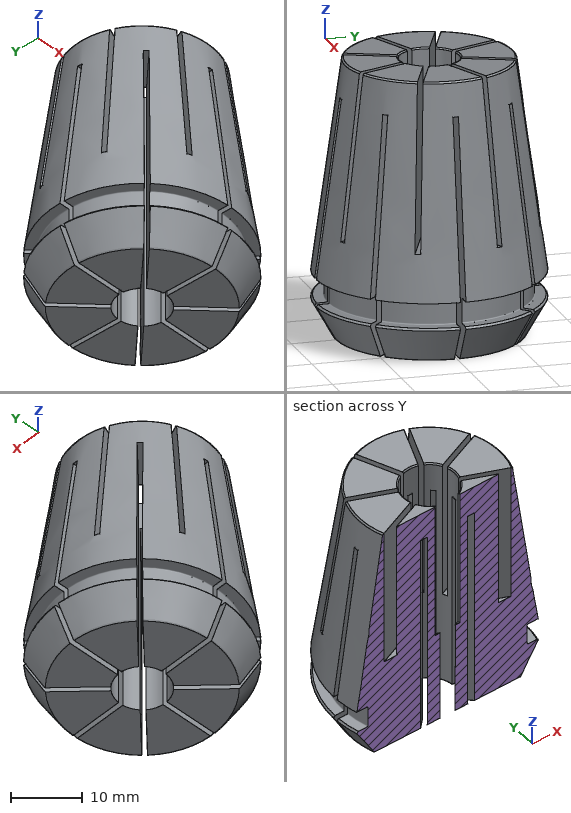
import cadquery as cq

height = 40.0
rim_diameter = 33.0
rim_radius = rim_diameter / 2
bore_diameter = 8.7
edge_break = 0.25
bore_break = 0.2
bottom_break = 0.15
groove_fillet = 0.15

bottom_radius = 13.65
flange_edge_z = 5.15
flange_top_z = 5.5
flange_top_radius = 16.25
groove_radius = 14.65
cone_base_z = 9.1
top_radius = 12.2

slots_per_end = 8
slot_pitch = 360.0 / slots_per_end
slot_width = 0.8
slab_length = 3 * rim_radius
lower_slot_top_z = 35.0
upper_slot_floor_z = 16.0


def make_body():
    """Revolve the collet profile around Z, including the bore."""
    bore_radius = bore_diameter / 2
    profile = (
        cq.Workplane("XZ")
        .moveTo(bore_radius, 0)
        .lineTo(bottom_radius - bottom_break, 0)
        .lineTo(bottom_radius, bottom_break)
        .lineTo(rim_radius, flange_edge_z)
        .lineTo(flange_top_radius, flange_top_z)
        .lineTo(groove_radius + groove_fillet, flange_top_z)
        .radiusArc((groove_radius, flange_top_z + groove_fillet), groove_fillet)
        .lineTo(groove_radius, cone_base_z - groove_fillet)
        .radiusArc((groove_radius + groove_fillet, cone_base_z), groove_fillet)
        .lineTo(rim_radius, cone_base_z)
        .lineTo(top_radius, height - edge_break)
        .lineTo(top_radius - edge_break, height)
        .lineTo(bore_radius + bore_break, height)
        .lineTo(bore_radius, height - bore_break)
        .close()
    )
    return profile.revolve(360, (0, 0, 0), (0, 1, 0))


def make_slots(start_z, end_z, first_angle):
    """Ring of radial slots, each pair of opposite slots being one full-width slab."""
    slab = (
        cq.Workplane("XY")
        .workplane(offset=start_z)
        .rect(slab_length, slot_width)
        .extrude(end_z - start_z)
        .rotate((0, 0, 0), (0, 0, 1), first_angle)
    )
    slots = slab
    for index in range(1, slots_per_end // 2):
        slots = slots.union(slab.rotate((0, 0, 0), (0, 0, 1), index * slot_pitch))
    return slots


lower_slots = make_slots(0, lower_slot_top_z, 0)
upper_slots = make_slots(upper_slot_floor_z, height, slot_pitch / 2)

result = make_body().cut(lower_slots).cut(upper_slots)